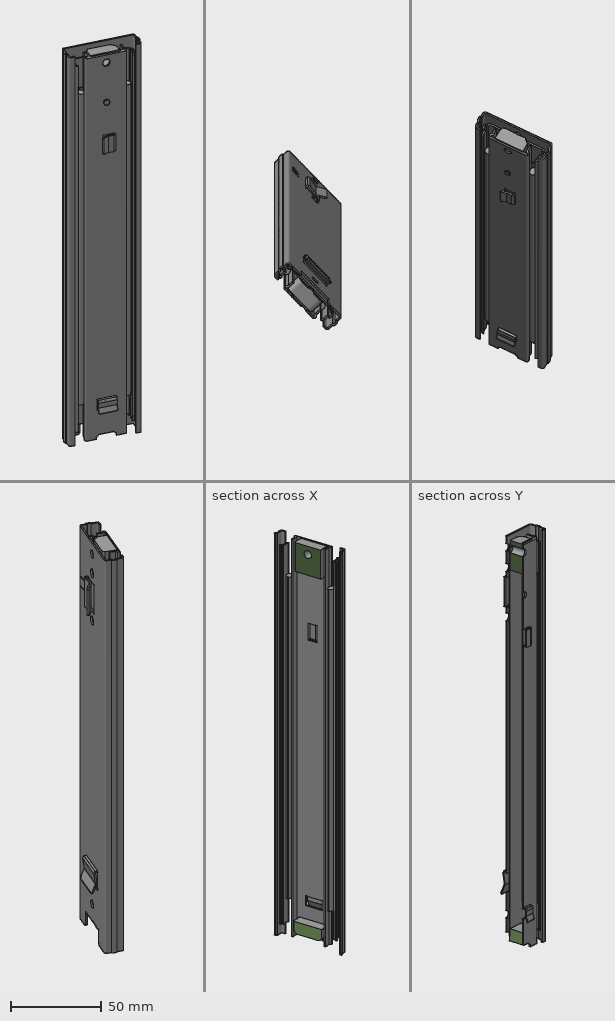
import cadquery as cq

rail_length = 250.0
sheet = 1.0
clearance_span = 100.0

toward_plus_x = (1, 0, 0)
toward_minus_x = (-1, 0, 0)
toward_minus_y = (0, -1, 0)
downward = (0, 0, -1)

outer_depth = 11.5
outer_half_width = 21.8
outer_lip_end = 18.2
outer_corner = 1.5
outer_bead_height = 0.8
bead_centre_x = 5.5
bead_width = 3.2
bead_crown = 0.2
end_notch_half_width = 11.0
end_notch_height = 9.5
end_notch_flare = 1.2

middle_back_x = 2.2
middle_depth = 9.0
middle_half_width = 17.8
middle_lip_end = 16.2
middle_corner = 1.2
middle_bead_height = 1.5
middle_bottom = 8.0
middle_top = 243.5
middle_end_bevel = 0.8

inner_back_x = 12.8
inner_half_width = 12.5
inner_corner = 1.2
inner_flange_end_x = 6.5
inner_groove_x = 10.8
inner_groove_depth = 1.0
inner_bottom = 2.0
inner_top = 249.0
inner_end_bevel = 1.0
inner_notch_half_width = 6.0
inner_notch_height = 2.8
inner_notch_bevel = 1.5
inner_bump_diameter = 3.5
inner_bump_height = 0.8
inner_bump_z = 217.8

screw_hole_diameter = 4.5
top_screw_z = 243.0
bottom_screw_z = 20.2
rivet_hole_diameter = 5.0
rivet_hole_zs = (200.8, 230.8)

hook_bend_length = 1.5
hook_bend_drop = 0.8
hook_waist_ratio = 0.55
hook_tip = 0.8
outer_cross_hook = dict(shoulder=2.2, waist=1.2, reach=4.5, length=13.5, width=18.2, corner=1.5)
outer_cross_hook_start = (0, 8.0, 215.8)
outer_down_hook = dict(shoulder=2.2, waist=1.2, reach=3.8, length=14.8, width=19.0, corner=1.5)
outer_down_hook_start = (0, 0, 46.2)
inner_cross_hook = dict(shoulder=2.2, waist=2.0, reach=3.2, length=8.5, width=10.5, corner=0.8)
inner_cross_hook_start = (inner_back_x, 5.0, 191.5)
inner_down_hook = dict(shoulder=2.2, waist=2.0, reach=3.2, length=8.5, width=11.2, corner=0.8)
inner_down_hook_start = (inner_back_x, 0, 27.8)

ramp_low_y = 13.2
ramp_high_y = 18.5
ramp_bottom = 213.0
ramp_height = 6.0
ramp_rise = 0.8

strip_centre_x = 8.8
strip_centre_y = 14.0
strip_half_depth = 2.5
strip_half_width = 2.0
strip_leg_x = 3.8
strip_leg_end_y = 9.8
strip_sheet = 0.8
strip_bottom = 25.0
strip_top = 225.0

block_low_x = middle_back_x + sheet
block_high_x = inner_back_x - sheet
block_half_width = 8.8
block_bevel = 2.8
block_small_bevel = 1.2
top_block_bottom = 230.0
top_block_top = 248.2
bumper_half_width = 9.5
bumper_bottom = 4.8
bumper_top = 12.5
bumper_corner = 3.0
nose_half_width = 2.5
nose_rise = 0.8
nose_height = 3.2


def box(x_low, x_high, y_low, y_high, z_low, z_high):
    """Box given by its limits along each axis."""
    size = (x_high - x_low, y_high - y_low, z_high - z_low)
    return cq.Workplane("XY").box(*size, centered=False).translate((x_low, y_low, z_low))


def cross_hole(diameter, z):
    """Cylinder along X at mid width, for drilling through a web."""
    start = -clearance_span / 2
    return cq.Workplane("YZ", origin=(start, 0, z)).circle(diameter / 2).extrude(clearance_span)


def bead(side, y, height, width, z_low, z_high):
    """Crowned rib along Z standing on the plane at side * y."""
    low_x = bead_centre_x - width / 2
    high_x = bead_centre_x + width / 2
    shoulder_y = side * (y + height - bead_crown)
    return (
        cq.Workplane("XY", origin=(0, 0, z_low))
        .moveTo(low_x, side * y)
        .lineTo(low_x, shoulder_y)
        .threePointArc((bead_centre_x, side * (y + height)), (high_x, shoulder_y))
        .lineTo(high_x, side * y)
        .close()
        .extrude(z_high - z_low)
    )


def beaded_channel(back_x, depth, half_width, lip_end, corner, bead_height, z_low, z_high):
    """C-shaped rail opening toward +X, with lips and a bead along each flange."""
    front_x = back_x + depth
    inside = half_width - sheet
    channel = box(back_x, front_x, -half_width, half_width, z_low, z_high).edges("|Z").fillet(corner)
    hollow = box(back_x + sheet, front_x - sheet, -inside, inside, z_low, z_high)
    channel = channel.cut(hollow.edges("|Z").fillet(corner - sheet))
    channel = channel.cut(box(front_x - sheet, front_x, -lip_end, lip_end, z_low, z_high))
    for side in (-1, 1):
        channel = channel.union(bead(side, half_width, bead_height, bead_width, z_low, z_high))
        channel = channel.cut(bead(side, inside, bead_height, bead_width - sheet, z_low, z_high))
    return channel


def hook(shoulder, waist, reach, length, width, corner):
    """Bent tongue leaving the XY plane toward +Z and running along +X, centred on Y."""
    waist_at = hook_waist_ratio * length
    profile = [
        (0, 0),
        (0, shoulder - hook_bend_drop),
        (hook_bend_length, shoulder),
        (waist_at, waist),
        (length - hook_tip, reach),
        (length, reach - hook_tip),
        (waist_at, waist - sheet),
        (sheet, shoulder - sheet),
        (sheet, 0),
    ]
    tongue = cq.Workplane("XZ").polyline(profile).close().extrude(width / 2, both=True)
    outline = box(0, length, -width / 2, width / 2, 0, reach).edges("|Z and >X").chamfer(corner)
    return tongue.intersect(outline)


def hook_window(length, width, corner):
    """Opening left in the web below a hook."""
    return box(sheet, length - corner - hook_tip, -width / 2, width / 2, -sheet, 0)


def place(shape, origin, along, outward):
    """Move a hook shape so +X follows along and +Z follows outward."""
    plane = cq.Plane(origin=origin, xDir=along, normal=outward)
    return cq.Workplane(obj=shape.val().moved(cq.Location(plane)))


def add_hook(rail, sizes, origin, along, outward):
    """Cut a hook's window out of the rail and join the hook to it."""
    window = hook_window(sizes["length"], sizes["width"], sizes["corner"])
    rail = rail.cut(place(window, origin, along, outward))
    return rail.union(place(hook(**sizes), origin, along, outward))


def make_outer_rail():
    rail = beaded_channel(
        0, outer_depth, outer_half_width, outer_lip_end, outer_corner, outer_bead_height, 0, rail_length
    )

    flared = end_notch_half_width + end_notch_flare
    notch = [
        (-flared, 0),
        (-end_notch_half_width, end_notch_flare),
        (-end_notch_half_width, end_notch_height),
        (end_notch_half_width, end_notch_height),
        (end_notch_half_width, end_notch_flare),
        (flared, 0),
    ]
    rail = rail.cut(cq.Workplane("YZ").polyline(notch).close().extrude(sheet))

    for z in (top_screw_z, bottom_screw_z):
        rail = rail.cut(cross_hole(screw_hole_diameter, z))
    for z in rivet_hole_zs:
        rail = rail.cut(cross_hole(rivet_hole_diameter, z))

    ramp = (
        cq.Workplane("XY", origin=(0, 0, ramp_bottom))
        .polyline([(0, ramp_low_y), (0, ramp_high_y), (-ramp_rise, ramp_high_y)])
        .close()
        .extrude(ramp_height)
    )
    rail = rail.union(ramp)

    rail = add_hook(rail, outer_cross_hook, outer_cross_hook_start, toward_minus_y, toward_minus_x)
    return add_hook(rail, outer_down_hook, outer_down_hook_start, downward, toward_minus_x)


def make_middle_rail():
    rail = beaded_channel(
        middle_back_x, middle_depth, middle_half_width, middle_lip_end, middle_corner,
        middle_bead_height, middle_bottom, middle_top,
    )
    return rail.faces("<X").edges("<Z").chamfer(middle_end_bevel)


def make_inner_rail():
    web_inside = inner_back_x - sheet
    flange_inside = inner_half_width - sheet
    groove_outside = inner_half_width - inner_groove_depth
    groove_inside = groove_outside - sheet

    rail = box(web_inside, inner_back_x, -inner_half_width, inner_half_width, inner_bottom, inner_top)
    for side in (-1, 1):
        flange = [
            (inner_back_x, side * inner_half_width),
            (inner_groove_x, side * inner_half_width),
            (inner_groove_x - sheet, side * groove_outside),
            (inner_flange_end_x, side * groove_outside),
            (inner_flange_end_x, side * groove_inside),
            (inner_groove_x, side * groove_inside),
            (inner_groove_x + sheet, side * flange_inside),
            (inner_back_x, side * flange_inside),
        ]
        rail = rail.union(
            cq.Workplane("XY", origin=(0, 0, inner_bottom))
            .polyline(flange)
            .close()
            .extrude(inner_top - inner_bottom)
        )
    rail = rail.edges("|Z and >X").fillet(inner_corner)

    slope = [(web_inside, inner_top), (inner_back_x, inner_top), (inner_back_x, inner_top - inner_end_bevel)]
    rail = rail.cut(cq.Workplane("XZ").polyline(slope).close().extrude(inner_half_width, both=True))

    notch = box(
        web_inside, inner_back_x, -inner_notch_half_width, inner_notch_half_width,
        inner_bottom, inner_bottom + inner_notch_height,
    )
    rail = rail.cut(notch.edges("|X and >Z").chamfer(inner_notch_bevel))

    rail = rail.cut(cross_hole(screw_hole_diameter, top_screw_z))

    bump = (
        cq.Workplane("YZ", origin=(inner_back_x, 0, inner_bump_z))
        .circle(inner_bump_diameter / 2)
        .extrude(inner_bump_height)
    )
    rail = rail.union(bump)

    rail = add_hook(rail, inner_cross_hook, inner_cross_hook_start, toward_minus_y, toward_plus_x)
    return add_hook(rail, inner_down_hook, inner_down_hook_start, downward, toward_plus_x)


def make_retainer_strip(side):
    """Oval bar with an angled sheet leg, on the +Y or -Y side."""
    oval = (
        cq.Workplane("XY", origin=(strip_centre_x, side * strip_centre_y, strip_bottom))
        .ellipse(strip_half_depth, strip_half_width)
        .extrude(strip_top - strip_bottom)
    )
    leg_outside = strip_centre_y
    leg_inside = strip_centre_y - strip_sheet
    leg = [
        (strip_centre_x, side * leg_outside),
        (strip_leg_x, side * leg_outside),
        (strip_leg_x, side * strip_leg_end_y),
        (strip_leg_x + strip_sheet, side * strip_leg_end_y),
        (strip_leg_x + strip_sheet, side * leg_inside),
        (strip_centre_x, side * leg_inside),
    ]
    return oval.union(
        cq.Workplane("XY", origin=(0, 0, strip_bottom))
        .polyline(leg)
        .close()
        .extrude(strip_top - strip_bottom)
    )


def make_top_block():
    block = box(
        block_low_x, block_high_x, -block_half_width, block_half_width, top_block_bottom, top_block_top
    )
    block = block.edges("|Z and <X and >Y").chamfer(block_bevel)
    block = block.edges("|Z and <X and <Y").chamfer(block_small_bevel)
    return block.cut(cross_hole(screw_hole_diameter, top_screw_z))


def make_bumper():
    block = box(
        block_low_x, block_high_x, -bumper_half_width, bumper_half_width, bumper_bottom, bumper_top
    )
    block = block.edges("|X and <Z").fillet(bumper_corner)

    nose = (
        cq.Workplane("XY", origin=(0, 0, bumper_bottom))
        .moveTo(block_low_x, -nose_half_width)
        .threePointArc((block_low_x - nose_rise, 0), (block_low_x, nose_half_width))
        .close()
        .extrude(nose_height)
    )
    return block.union(nose)


outer_rail = make_outer_rail()
middle_rail = make_middle_rail()
inner_rail = make_inner_rail()
retainer_strips = [make_retainer_strip(side) for side in (-1, 1)]
top_block = make_top_block()
bumper = make_bumper()

result = cq.Compound.makeCompound(
    [
        outer_rail.val(),
        middle_rail.val(),
        inner_rail.val(),
        *[strip.val() for strip in retainer_strips],
        top_block.val(),
        bumper.val(),
    ]
)